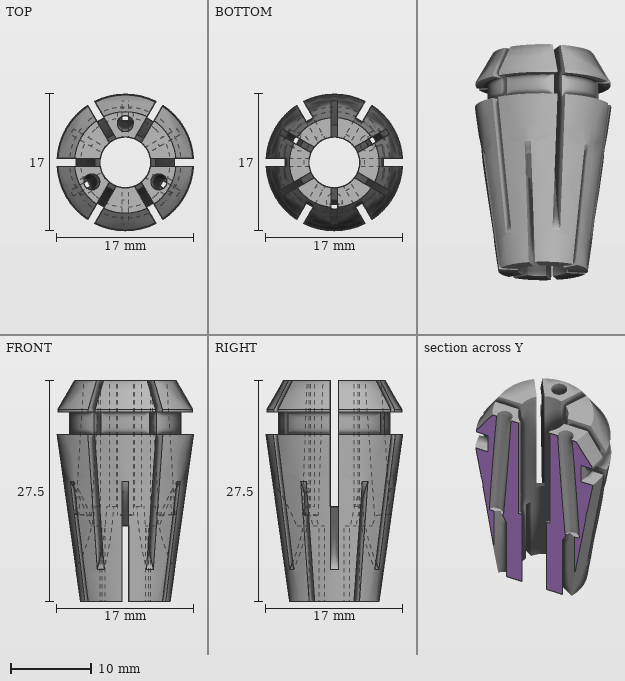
import cadquery as cq
import math

length = 27.5

body_top_radius = 8.5
body_height = 20.8
body_taper_angle = 8.0
body_bottom_radius = body_top_radius - body_height * math.tan(math.radians(body_taper_angle))

groove_radius = 6.93
groove_height = 2.75
lip_radius = 8.4
lip_height = 0.35
lip_bottom = body_height + groove_height
cone_bottom = lip_bottom + lip_height
cone_angle = 30.0
head_top_radius = lip_radius - (length - cone_bottom) * math.tan(math.radians(cone_angle))

bore_radius = 3.15

slots_per_end = 6
slot_pitch = 360.0 / slots_per_end
saw_radius = 23.38
slot_reach = 11.0

top_slot_width = 1.0
top_slot_inner_radius = 3.75
top_slot_inner_height = 11.8
top_slot_outer_height = 3.95

bottom_slot_width = 0.8
bottom_slot_inner_radius = 4.68
bottom_slot_inner_height = 9.4
bottom_slot_outer_height = 14.93

hole_count = 3
hole_diameter = 1.98
hole_circle_radius = 4.8
hole_lean_angle = 4.0
hole_depth = 16.78
hole_first_angle = 90.0


def body_radius_at(height):
    """Outer radius of the tapered body at a given height."""
    return body_bottom_radius + height * math.tan(math.radians(body_taper_angle))


def collet_blank():
    """Turned shape with the bore, before any slots or holes."""
    outline = [
        (bore_radius, 0),
        (body_bottom_radius, 0),
        (body_top_radius, body_height),
        (groove_radius, body_height),
        (groove_radius, lip_bottom),
        (lip_radius, lip_bottom),
        (lip_radius, cone_bottom),
        (head_top_radius, length),
        (bore_radius, length),
    ]
    return cq.Workplane("XZ").polyline(outline).close().revolve(360, (0, 0), (0, 1))


def slot_cutter(width, inner_radius, inner_height, outer_height, open_end):
    """Radial slot along +X, open at one end of the collet, with a floor curved by the saw."""
    outer_radius = body_radius_at(outer_height)
    chord_x = outer_radius - inner_radius
    chord_z = outer_height - inner_height
    half_chord = math.hypot(chord_x, chord_z) / 2
    sagitta = saw_radius - math.sqrt(saw_radius**2 - half_chord**2)

    chord_angle = math.atan2(abs(chord_z), chord_x)
    toward_closed_end = math.copysign(1, chord_z)
    mid_x = (inner_radius + outer_radius) / 2 - sagitta * math.sin(chord_angle)
    mid_z = (inner_height + outer_height) / 2 + toward_closed_end * sagitta * math.cos(chord_angle)

    profile = (
        cq.Workplane("XZ")
        .moveTo(0, open_end)
        .lineTo(0, inner_height)
        .lineTo(inner_radius, inner_height)
        .threePointArc((mid_x, mid_z), (outer_radius, outer_height))
        .lineTo(slot_reach, outer_height)
        .lineTo(slot_reach, open_end)
        .close()
    )
    return profile.extrude(width / 2, both=True)


def leaning_hole():
    """Flat-bottomed drill shape through the top face at +X, leaning outward below."""
    overrun = 0.55
    drill = (
        cq.Workplane("XY")
        .workplane(offset=-hole_depth)
        .circle(hole_diameter / 2)
        .extrude(hole_depth + overrun)
        .rotate((0, 0, 0), (0, 1, 0), -hole_lean_angle)
    )
    return drill.translate((hole_circle_radius, 0, length))


def turned(shape, angle):
    """The shape turned about the collet axis."""
    return shape.rotate((0, 0, 0), (0, 0, 1), angle)


top_slot = slot_cutter(
    top_slot_width, top_slot_inner_radius, top_slot_inner_height, top_slot_outer_height, length
)
bottom_slot = slot_cutter(
    bottom_slot_width, bottom_slot_inner_radius, bottom_slot_inner_height, bottom_slot_outer_height, 0
)
hole = leaning_hole()

result = collet_blank()

for i in range(slots_per_end):
    result = result.cut(turned(top_slot, i * slot_pitch))
    result = result.cut(turned(bottom_slot, (i + 0.5) * slot_pitch))

for i in range(hole_count):
    result = result.cut(turned(hole, hole_first_angle + i * 360.0 / hole_count))